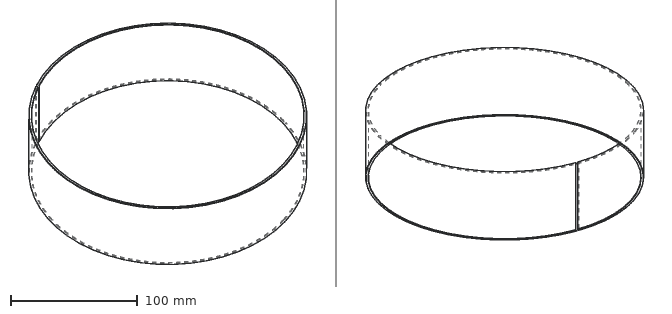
import cadquery as cq
import math

outer_diameter = 220.0
wall = 2.5
height = 60.0
rim_chamfer = 0.5
gap_angle = 1.0

outer_radius = outer_diameter / 2
gap_width = outer_radius * math.sin(math.radians(gap_angle))
gap_depth = 4 * wall

ring = (
    cq.Workplane("XY")
    .circle(outer_radius)
    .circle(outer_radius - wall)
    .extrude(height)
    .faces("<Z or >Z")
    .edges()
    .chamfer(rim_chamfer)
)

gap = (
    cq.Workplane("XY")
    .center(-outer_radius, gap_width / 2)
    .rect(gap_depth, gap_width)
    .extrude(height)
)

result = ring.cut(gap)